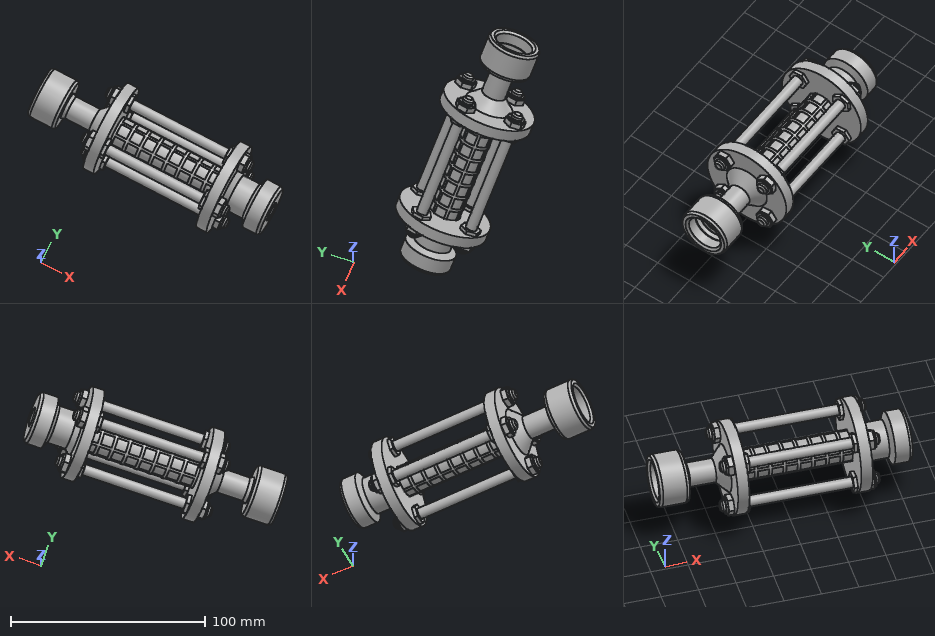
import cadquery as cq
import math

TOTAL_LENGTH = 135.0
BORE_RADIUS = 5.1

FLANGE_RADIUS = 25.0
FLANGE_THICKNESS = 6.2
FLANGE_GAP = 59.6
LEFT_FLANGE_X = 38.4
LEFT_FLANGE_INNER_X = LEFT_FLANGE_X + FLANGE_THICKNESS
RIGHT_FLANGE_INNER_X = LEFT_FLANGE_INNER_X + FLANGE_GAP
RIGHT_FLANGE_X = RIGHT_FLANGE_INNER_X + FLANGE_THICKNESS
FLANGE_CONE_RADIUS = 12.75

NUT_RADIUS = 14.0
NUT_LENGTH = 16.0
NUT_CHAMFER_LENGTH = 1.6
NUT_CHAMFER_DEPTH = 0.7
NUT_THREAD_RADIUS = 10.0
NUT_THREAD_END_X = 7.3
NUT_LEAD_IN = 1.3
NUT_RELIEF_RADIUS = 10.5
NUT_FLOOR_X = 10.7

NOSE_TIP_X = 9.0
NOSE_TIP_RADIUS = 8.0
NOSE_BASE_RADIUS = 9.2
COLLAR_RADIUS = 7.2
NECK_RADIUS = 6.4
NECK_START_X = 18.1
LEFT_CONE_LENGTH = FLANGE_CONE_RADIUS - NECK_RADIUS

RIGHT_NECK_RADIUS = 10.1
RIGHT_CONE_LENGTH = 3.2
HEAD_RADIUS = NUT_RADIUS
HEAD_LENGTH = 11.6
HEAD_BACK_TAPER_LENGTH = 2.1
HEAD_CHAMFER_LENGTH = 1.6
HEAD_CHAMFER_DEPTH = 1.1

CAGE_RADIUS = 8.4
GLASS_RADIUS = 8.15
WINDOW_ROWS = 8
BAR_COUNT = 7
BAR_WIDTH = 1.5
RIB_WIDTH = 1.7
RIB_PITCH = 7.6
END_RING_WIDTH = 1.5
WINDOW_LENGTH = RIB_PITCH - RIB_WIDTH
WINDOW_CUT_CLEARANCE = 1.0
CAGE_LENGTH = WINDOW_ROWS * RIB_PITCH - RIB_WIDTH + 2 * END_RING_WIDTH
CAGE_END_X = LEFT_FLANGE_INNER_X + CAGE_LENGTH
LOWEST_BAR_ANGLE = -90.0

ROD_COUNT = 4
ROD_CIRCLE_RADIUS = 19.0
ROD_RADIUS = 3.0
ROD_TIP_LENGTH = 2.4
ROD_TIP_CHAMFER = 1.0
HEX_SIDES = 6
HEX_ACROSS_CORNERS = 11.0
HEX_TURN = 10.0
INNER_HEX_THICKNESS = 2.0
OUTER_HEX_THICKNESS = 3.0
HEX_COLLAR_RADIUS = 4.4
HEX_COLLAR_LENGTH = 1.0
ROD_OVERHANG = OUTER_HEX_THICKNESS + HEX_COLLAR_LENGTH + ROD_TIP_LENGTH


def revolve_about_x(points):
    """Solid of revolution about the X axis from (x, radius) points."""
    return cq.Workplane("XY").polyline(points).close().revolve(360, (0, 0, 0), (1, 0, 0))


def cylinder_x(start_x, end_x, radius):
    """Cylinder on the X axis."""
    return cq.Workplane("YZ", origin=(start_x, 0, 0)).circle(radius).extrude(end_x - start_x)


def rod_places():
    """(Y, Z, angle in degrees) of each tie rod."""
    places = []
    for index in range(ROD_COUNT):
        angle = 360.0 / ROD_COUNT * (index + 0.5)
        y = ROD_CIRCLE_RADIUS * math.cos(math.radians(angle))
        z = ROD_CIRCLE_RADIUS * math.sin(math.radians(angle))
        places.append((y, z, angle))
    return places


def cut_rod_holes(end_piece, flange_start_x):
    """Drill the tie rod holes through one flange."""
    centres = [(y, z) for y, z, _ in rod_places()]
    holes = (
        cq.Workplane("YZ", origin=(flange_start_x, 0, 0))
        .pushPoints(centres)
        .circle(ROD_RADIUS)
        .extrude(FLANGE_THICKNESS)
    )
    return end_piece.cut(holes)


def make_union_nut():
    edge_radius = NUT_RADIUS - NUT_CHAMFER_DEPTH
    return revolve_about_x([
        (0, NUT_THREAD_RADIUS + NUT_LEAD_IN),
        (0, edge_radius),
        (NUT_CHAMFER_LENGTH, NUT_RADIUS),
        (NUT_LENGTH - NUT_CHAMFER_LENGTH, NUT_RADIUS),
        (NUT_LENGTH, edge_radius),
        (NUT_LENGTH, COLLAR_RADIUS),
        (NUT_FLOOR_X, COLLAR_RADIUS),
        (NUT_FLOOR_X, NUT_RELIEF_RADIUS),
        (NUT_THREAD_END_X, NUT_RELIEF_RADIUS),
        (NUT_THREAD_END_X, NUT_THREAD_RADIUS),
        (NUT_LEAD_IN, NUT_THREAD_RADIUS),
    ])


def make_left_end():
    body = revolve_about_x([
        (NOSE_TIP_X, BORE_RADIUS),
        (NOSE_TIP_X, NOSE_TIP_RADIUS),
        (NUT_FLOOR_X, NOSE_BASE_RADIUS),
        (NUT_FLOOR_X, COLLAR_RADIUS),
        (NUT_LENGTH, COLLAR_RADIUS),
        (NECK_START_X, NECK_RADIUS),
        (LEFT_FLANGE_X - LEFT_CONE_LENGTH, NECK_RADIUS),
        (LEFT_FLANGE_X, FLANGE_CONE_RADIUS),
        (LEFT_FLANGE_X, FLANGE_RADIUS),
        (LEFT_FLANGE_INNER_X, FLANGE_RADIUS),
        (LEFT_FLANGE_INNER_X, BORE_RADIUS),
    ])
    return cut_rod_holes(body, LEFT_FLANGE_X)


def make_right_end():
    """The cage and the glass sit in a recess in the inner face of this flange."""
    head_x = TOTAL_LENGTH - HEAD_LENGTH
    body = revolve_about_x([
        (RIGHT_FLANGE_INNER_X, CAGE_RADIUS),
        (RIGHT_FLANGE_INNER_X, FLANGE_RADIUS),
        (RIGHT_FLANGE_X, FLANGE_RADIUS),
        (RIGHT_FLANGE_X, FLANGE_CONE_RADIUS),
        (RIGHT_FLANGE_X + RIGHT_CONE_LENGTH, RIGHT_NECK_RADIUS),
        (head_x, RIGHT_NECK_RADIUS),
        (head_x + HEAD_BACK_TAPER_LENGTH, HEAD_RADIUS),
        (TOTAL_LENGTH - HEAD_CHAMFER_LENGTH, HEAD_RADIUS),
        (TOTAL_LENGTH, HEAD_RADIUS - HEAD_CHAMFER_DEPTH),
        (TOTAL_LENGTH, BORE_RADIUS),
        (CAGE_END_X, BORE_RADIUS),
        (CAGE_END_X, CAGE_RADIUS),
    ])
    return cut_rod_holes(body, RIGHT_FLANGE_INNER_X)


def make_cage():
    """Rings along X joined by lengthwise bars, leaving rows of windows."""
    sleeve = cylinder_x(LEFT_FLANGE_INNER_X, CAGE_END_X, CAGE_RADIUS)
    sleeve = sleeve.cut(cylinder_x(LEFT_FLANGE_INNER_X, CAGE_END_X, GLASS_RADIUS))
    bars = []
    for index in range(BAR_COUNT):
        bar = (
            cq.Workplane("XY")
            .box(CAGE_LENGTH, CAGE_RADIUS + WINDOW_CUT_CLEARANCE, BAR_WIDTH, centered=(False, False, True))
            .rotate((0, 0, 0), (1, 0, 0), LOWEST_BAR_ANGLE + index * 360.0 / BAR_COUNT)
            .translate((LEFT_FLANGE_INNER_X, 0, 0))
        )
        bars.append(bar)
    for row in range(WINDOW_ROWS):
        window_x = LEFT_FLANGE_INNER_X + END_RING_WIDTH + row * RIB_PITCH
        band = cylinder_x(window_x, window_x + WINDOW_LENGTH, CAGE_RADIUS + WINDOW_CUT_CLEARANCE)
        for bar in bars:
            band = band.cut(bar)
        sleeve = sleeve.cut(band)
    return sleeve


def make_glass():
    tube = cylinder_x(LEFT_FLANGE_INNER_X, CAGE_END_X, GLASS_RADIUS)
    return tube.cut(cylinder_x(LEFT_FLANGE_INNER_X, CAGE_END_X, BORE_RADIUS))


def make_hex(start_x, thickness):
    """Hexagon on the X axis with a corner pointing along +Y."""
    return cq.Workplane("YZ", origin=(start_x, 0, 0)).polygon(HEX_SIDES, HEX_ACROSS_CORNERS).extrude(thickness)


def make_tie_rod(y, z, angle):
    """Rod with an inner and an outer nut on each flange."""
    start_x = LEFT_FLANGE_X - ROD_OVERHANG
    end_x = RIGHT_FLANGE_X + ROD_OVERHANG
    outer_reach = OUTER_HEX_THICKNESS + HEX_COLLAR_LENGTH
    rod = cylinder_x(start_x, end_x, ROD_RADIUS).faces("<X or >X").chamfer(ROD_TIP_CHAMFER)
    rod = (
        rod.union(make_hex(LEFT_FLANGE_X - OUTER_HEX_THICKNESS, OUTER_HEX_THICKNESS))
        .union(make_hex(LEFT_FLANGE_INNER_X, INNER_HEX_THICKNESS))
        .union(make_hex(RIGHT_FLANGE_INNER_X - INNER_HEX_THICKNESS, INNER_HEX_THICKNESS))
        .union(make_hex(RIGHT_FLANGE_X, OUTER_HEX_THICKNESS))
        .union(cylinder_x(LEFT_FLANGE_X - outer_reach, LEFT_FLANGE_X, HEX_COLLAR_RADIUS))
        .union(cylinder_x(RIGHT_FLANGE_X, RIGHT_FLANGE_X + outer_reach, HEX_COLLAR_RADIUS))
    )
    return rod.rotate((0, 0, 0), (1, 0, 0), angle + HEX_TURN).translate((0, y, z))


union_nut = make_union_nut()
left_end = make_left_end()
right_end = make_right_end()
cage = make_cage()
glass = make_glass()
tie_rods = [make_tie_rod(y, z, angle) for y, z, angle in rod_places()]

result = cq.Compound.makeCompound([
    union_nut.val(),
    left_end.val(),
    right_end.val(),
    cage.val(),
    glass.val(),
    *[rod.val() for rod in tie_rods],
])